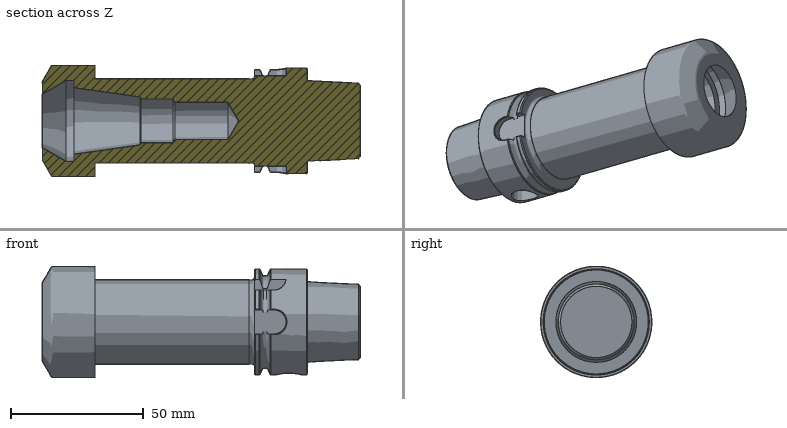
import cadquery as cq
import math


NOSE_X = -100.0
NUT_LENGTH = 20.0
FLANGE_LENGTH = 20.0
TAIL_LENGTH = 20.0
NECK_LENGTH = 2.0
NUT_END_X = NOSE_X + NUT_LENGTH
FLANGE_X = -FLANGE_LENGTH
NECK_X = FLANGE_X - NECK_LENGTH

NUT_DIAMETER = 42.0
NOSE_DIAMETER = 29.6
NOSE_CONE_ANGLE = 30.0
NOSE_EDGE_RADIUS = 2.0
NUT_EDGE_RADIUS = 1.0

BODY_DIAMETER = 32.0
NECK_DIAMETER = 31.8
NECK_FILLET = 0.8
FLANGE_DIAMETER = 40.0
FLANGE_CHAMFER = 0.4

GROOVE_CENTRE_X = -15.93
GROOVE_FLOOR_DIAMETER = 35.0
GROOVE_FLOOR_WIDTH = 1.7
GROOVE_WALL_ANGLE = 24.0
GROOVE_FLOOR_FILLET = 0.4
GROOVE_EDGE_BREAK = 0.25
GROOVE_BREAK_ANGLE = 57.0

TAIL_BASE_DIAMETER = 30.5
TAIL_TAPER = 0.1
TAIL_CHAMFER = 0.8

SLOT_WIDTH = 9.0
SLOT_END_CENTRE_X = -12.5
SLOT_EDGE_CHAMFER = 0.3
SLOT_FLOOR_Y = 17.1
NOTCH_WALL_Y = 12.1
NOTCH_FLOOR_Z = 12.05

CHIP_HOLE_DIAMETER = 10.0
CHIP_HOLE_X = -7.0
CHIP_HOLE_DEPTH = 4.6

NOSE_BORE_DIAMETER = 20.0
NUT_CAVITY_DIAMETER = 30.5
NUT_CAVITY_ANGLE = 30.0
SEAT_FACE_DEPTH = 12.0
SEAT_MOUTH_DIAMETER = 25.0
SEAT_ANGLE = 8.0
SEAT_END_DIAMETER = 18.0

STEP_BORE_DIAMETER = 16.4
STEP_BORE_LENGTH = 12.0
STEP_CONE_ANGLE = 60.0
PILOT_MOUTH_DIAMETER = 15.4
PILOT_MOUTH_ANGLE = 45.0
PILOT_DIAMETER = 14.0
PILOT_LENGTH = 20.0
DRILL_POINT_ANGLE = 60.0


def tan_degrees(angle):
    return math.tan(math.radians(angle))


def cone_length(large_diameter, small_diameter, half_angle):
    return (large_diameter - small_diameter) / 2 / tan_degrees(half_angle)


def revolve_about_x(profile):
    return profile.close().revolve(360, (0, 0, 0), (1, 0, 0))


def circle_at(x, diameter):
    """Selector for the circular edge of the given diameter at station x."""
    margin = 0.01
    reach = diameter / 2 + margin
    return cq.selectors.BoxSelector(
        (x - margin, -reach, -reach), (x + margin, reach, reach), boundingbox=True
    )


def make_nut():
    cone_end_x = NOSE_X + (NUT_DIAMETER - NOSE_DIAMETER) / 2 * tan_degrees(NOSE_CONE_ANGLE)
    nut = revolve_about_x(
        cq.Workplane("XY")
        .moveTo(NOSE_X, 0)
        .lineTo(NOSE_X, NOSE_DIAMETER / 2)
        .lineTo(cone_end_x, NUT_DIAMETER / 2)
        .lineTo(NUT_END_X, NUT_DIAMETER / 2)
        .lineTo(NUT_END_X, 0)
    )
    nut = nut.edges(circle_at(NOSE_X, NOSE_DIAMETER)).fillet(NOSE_EDGE_RADIUS)
    return nut.edges(circle_at(cone_end_x, NUT_DIAMETER)).fillet(NUT_EDGE_RADIUS)


def make_body():
    neck_radius = NECK_DIAMETER / 2
    return revolve_about_x(
        cq.Workplane("XY")
        .moveTo(NUT_END_X, 0)
        .lineTo(NUT_END_X, BODY_DIAMETER / 2)
        .lineTo(NECK_X, BODY_DIAMETER / 2)
        .lineTo(NECK_X, neck_radius)
        .lineTo(FLANGE_X - NECK_FILLET, neck_radius)
        .radiusArc((FLANGE_X, neck_radius + NECK_FILLET), -NECK_FILLET)
        .lineTo(FLANGE_X, 0)
    )


def make_flange_blank():
    rim = cq.Workplane("YZ", origin=(FLANGE_X, 0, 0)).circle(FLANGE_DIAMETER / 2)
    return rim.extrude(FLANGE_LENGTH).faces("<X or >X").chamfer(FLANGE_CHAMFER)


def make_tail():
    tip_diameter = TAIL_BASE_DIAMETER - TAIL_TAPER * TAIL_LENGTH
    tail = revolve_about_x(
        cq.Workplane("XY")
        .lineTo(0, TAIL_BASE_DIAMETER / 2)
        .lineTo(TAIL_LENGTH, tip_diameter / 2)
        .lineTo(TAIL_LENGTH, 0)
    )
    return tail.faces(">X").chamfer(TAIL_CHAMFER)


def make_gripper_groove():
    """Ring that cuts the groove, its floor corners rounded and its mouth edges broken."""
    rim_radius = FLANGE_DIAMETER / 2
    floor_radius = GROOVE_FLOOR_DIAMETER / 2
    break_radius = rim_radius - GROOVE_EDGE_BREAK
    half_floor = GROOVE_FLOOR_WIDTH / 2
    half_break = half_floor + (break_radius - floor_radius) * tan_degrees(GROOVE_WALL_ANGLE)
    half_mouth = half_break + GROOVE_EDGE_BREAK * tan_degrees(GROOVE_BREAK_ANGLE)
    ring = revolve_about_x(
        cq.Workplane("XY")
        .moveTo(GROOVE_CENTRE_X - half_floor, floor_radius)
        .lineTo(GROOVE_CENTRE_X - half_break, break_radius)
        .lineTo(GROOVE_CENTRE_X - half_mouth, rim_radius)
        .lineTo(GROOVE_CENTRE_X + half_mouth, rim_radius)
        .lineTo(GROOVE_CENTRE_X + half_break, break_radius)
        .lineTo(GROOVE_CENTRE_X + half_floor, floor_radius)
    )
    for side in (-1, 1):
        floor_corner = circle_at(GROOVE_CENTRE_X + side * half_floor, GROOVE_FLOOR_DIAMETER)
        ring = ring.edges(floor_corner).fillet(GROOVE_FLOOR_FILLET)
    return ring


def make_slot(floor_y, centre_z):
    """Round-ended slot from the nut side of the flange, open towards -Y."""
    radius = SLOT_WIDTH / 2
    depth = FLANGE_DIAMETER / 2 - floor_y
    return (
        cq.Workplane("XZ", origin=(0, -floor_y, 0))
        .moveTo(FLANGE_X, centre_z - radius)
        .lineTo(SLOT_END_CENTRE_X, centre_z - radius)
        .threePointArc(
            (SLOT_END_CENTRE_X + radius, centre_z), (SLOT_END_CENTRE_X, centre_z + radius)
        )
        .lineTo(FLANGE_X, centre_z + radius)
        .close()
        .extrude(depth)
    )


def cut_drive_slots(flange):
    """Cuts a slot on each side of the flange and chamfers its outer edges."""
    slot = make_slot(SLOT_FLOOR_Y, 0)
    flange = flange.cut(slot).cut(slot.mirror("XZ"))
    half_width = SLOT_WIDTH / 2
    rim_radius = FLANGE_DIAMETER / 2
    margin = 0.1
    inner_y = math.sqrt(rim_radius**2 - half_width**2) - margin
    start_x = FLANGE_X + FLANGE_CHAMFER + margin
    end_x = SLOT_END_CENTRE_X + half_width
    for low_y, high_y in ((-rim_radius, -inner_y), (inner_y, rim_radius)):
        slot_rim = cq.selectors.BoxSelector(
            (start_x, low_y, -half_width - margin),
            (end_x, high_y, half_width + margin),
        )
        flange = flange.edges(slot_rim).chamfer(SLOT_EDGE_CHAMFER)
    return flange


def make_chip_hole():
    """Round blind hole that opens downwards."""
    mouth_z = -FLANGE_DIAMETER / 2
    hole = cq.Workplane("XY", origin=(CHIP_HOLE_X, 0, mouth_z))
    return hole.circle(CHIP_HOLE_DIAMETER / 2).extrude(CHIP_HOLE_DEPTH)


def make_bore():
    flare_end_x = NOSE_X + cone_length(NUT_CAVITY_DIAMETER, NOSE_BORE_DIAMETER, NUT_CAVITY_ANGLE)
    seat_x = NOSE_X + SEAT_FACE_DEPTH
    seat_end_x = seat_x + cone_length(SEAT_MOUTH_DIAMETER, SEAT_END_DIAMETER, SEAT_ANGLE)
    step_x = seat_end_x + cone_length(SEAT_END_DIAMETER, STEP_BORE_DIAMETER, STEP_CONE_ANGLE)
    step_end_x = step_x + STEP_BORE_LENGTH
    pilot_x = step_end_x + cone_length(PILOT_MOUTH_DIAMETER, PILOT_DIAMETER, PILOT_MOUTH_ANGLE)
    pilot_end_x = pilot_x + PILOT_LENGTH
    point_x = pilot_end_x + cone_length(PILOT_DIAMETER, 0, DRILL_POINT_ANGLE)
    return revolve_about_x(
        cq.Workplane("XY")
        .moveTo(NOSE_X, 0)
        .lineTo(NOSE_X, NOSE_BORE_DIAMETER / 2)
        .lineTo(flare_end_x, NUT_CAVITY_DIAMETER / 2)
        .lineTo(seat_x, NUT_CAVITY_DIAMETER / 2)
        .lineTo(seat_x, SEAT_MOUTH_DIAMETER / 2)
        .lineTo(seat_end_x, SEAT_END_DIAMETER / 2)
        .lineTo(step_x, STEP_BORE_DIAMETER / 2)
        .lineTo(step_end_x, STEP_BORE_DIAMETER / 2)
        .lineTo(step_end_x, PILOT_MOUTH_DIAMETER / 2)
        .lineTo(pilot_x, PILOT_DIAMETER / 2)
        .lineTo(pilot_end_x, PILOT_DIAMETER / 2)
        .lineTo(point_x, 0)
    )


flange = cut_drive_slots(make_flange_blank())
flange = flange.cut(make_gripper_groove()).cut(make_chip_hole())
flange = flange.cut(make_slot(NOTCH_WALL_Y, NOTCH_FLOOR_Z + SLOT_WIDTH / 2))

result = make_nut().union(make_body()).union(flange).union(make_tail()).cut(make_bore())